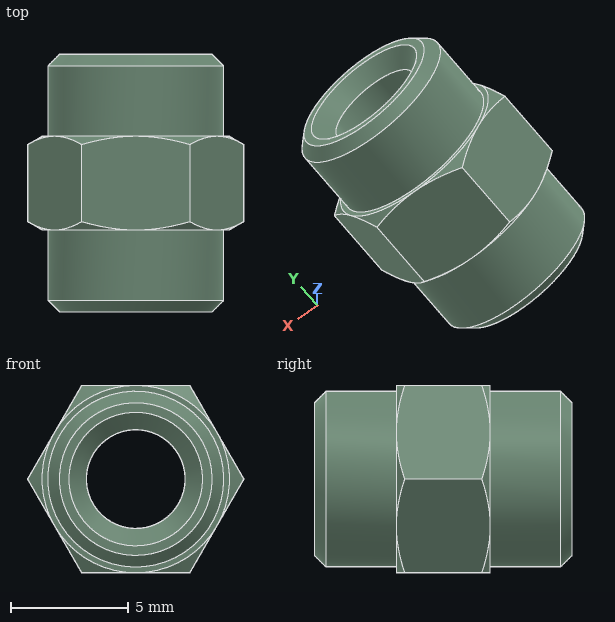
import cadquery as cq
import math

length = 11.0
hex_across_flats = 8.0
hex_width = 4.0
spigot_diameter = 7.5
spigot_chamfer = 0.5
bore_diameter = 4.2
countersink_depth = 0.75
hex_chamfer_angle = 30.0

hex_across_corners = hex_across_flats / math.cos(math.radians(30))
flat_radius = hex_across_flats / 2
corner_radius = hex_across_corners / 2
corner_drop = (corner_radius - flat_radius) * math.tan(math.radians(hex_chamfer_angle))
half_length = length / 2
half_hex = hex_width / 2


def revolve_about_y(points):
    """Turn a closed (radius, y) outline around the Y axis."""
    return cq.Workplane("XY").polyline(points).close().revolve(360, (0, 0, 0), (0, 1, 0))


def make_hex():
    """Central hexagon with corners on X, chamfered on both end faces."""
    prism = (
        cq.Workplane("XZ")
        .polygon(6, hex_across_corners)
        .extrude(half_hex, both=True)
    )
    chamfer_envelope = revolve_about_y([
        (0, -half_hex),
        (flat_radius, -half_hex),
        (corner_radius, -half_hex + corner_drop),
        (corner_radius, half_hex - corner_drop),
        (flat_radius, half_hex),
        (0, half_hex),
    ])
    return prism.intersect(chamfer_envelope)


def make_spigots():
    """Cylinder through the full length, chamfered at both ends."""
    return (
        cq.Workplane("XZ")
        .circle(spigot_diameter / 2)
        .extrude(half_length, both=True)
        .faces("<Y or >Y")
        .chamfer(spigot_chamfer)
    )


def make_bore():
    """Through bore flared by a countersink at each end."""
    bore_radius = bore_diameter / 2
    mouth_radius = bore_radius + countersink_depth
    return revolve_about_y([
        (0, -half_length),
        (mouth_radius, -half_length),
        (bore_radius, -half_length + countersink_depth),
        (bore_radius, half_length - countersink_depth),
        (mouth_radius, half_length),
        (0, half_length),
    ])


result = make_hex().union(make_spigots()).cut(make_bore())